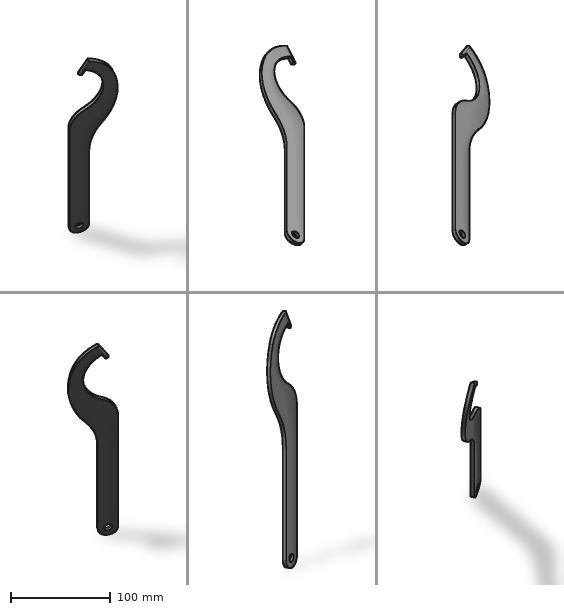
import cadquery as cq
import math

thickness = 4.0
total_length = 273.0
total_width = 51.5

handle_width = 21.3
end_radius = handle_width / 2
hole_diameter = 8.5

jaw_radius = 36.0
jaw_center_y = -10.5
jaw_center_z = 217.0
tip_arc_radius = 49.5
back_arc_radius = 80.0
neck_arc_radius = 62.8
shoulder_radius = 30.9

tooth_width = 4.0
tooth_length = 20.8
tooth_angle = math.radians(30)
tooth_round_radius = thickness / 2
cutter_margin = 2.7

front_y = -end_radius
rear_y = end_radius
hook_rear_y = front_y + total_width
top_z = total_length - end_radius


def point_toward(start, target, distance):
    """Point at a given distance from start along the line to target."""
    span = math.dist(start, target)
    return tuple(s + (t - s) * distance / span for s, t in zip(start, target))


def middle_of_arc(center, radius, start, end):
    """Point halfway along the shorter arc from start to end."""
    chord_middle = tuple((s + e) / 2 for s, e in zip(start, end))
    return point_toward(center, chord_middle, radius)


def lower_center_z(center_y, known_center, center_distance):
    """Z of a centre that lies below a known one at a given distance from it."""
    offset_y = center_y - known_center[0]
    return known_center[1] - math.sqrt(center_distance**2 - offset_y**2)


jaw_center = (jaw_center_y, jaw_center_z)

back_y = hook_rear_y - back_arc_radius
back_center = (back_y, lower_center_z(back_y, jaw_center, back_arc_radius - tip_arc_radius))

neck_y = rear_y + neck_arc_radius
neck_center = (neck_y, lower_center_z(neck_y, back_center, back_arc_radius + neck_arc_radius))

shoulder_y = front_y + shoulder_radius
shoulder_center = (shoulder_y, lower_center_z(shoulder_y, jaw_center, jaw_radius + shoulder_radius))

tooth_down = (-math.sin(tooth_angle), -math.cos(tooth_angle))
tooth_inward = (math.cos(tooth_angle), -math.sin(tooth_angle))

tip_rise = top_z - jaw_center_z
tooth_top = (jaw_center_y + math.sqrt(tip_arc_radius**2 - tip_rise**2), top_z)


def point_on_tooth(down, inward):
    """Point at given distances along and across the tooth from its outer top corner."""
    return tuple(t + down * d + inward * i for t, d, i in zip(tooth_top, tooth_down, tooth_inward))


def tooth_root():
    """Point where the inner side of the tooth meets the jaw arc."""
    start = point_on_tooth(0, tooth_width)
    offset = (start[0] - jaw_center[0], start[1] - jaw_center[1])
    along = offset[0] * tooth_down[0] + offset[1] * tooth_down[1]
    across = offset[0] * tooth_inward[0] + offset[1] * tooth_inward[1]
    return point_on_tooth(-along - math.sqrt(jaw_radius**2 - across**2), tooth_width)


def make_plate():
    tip_to_back = point_toward(back_center, jaw_center, back_arc_radius)
    back_to_neck = point_toward(back_center, neck_center, back_arc_radius)
    neck_end = (rear_y, neck_center[1])
    shoulder_end = (front_y, shoulder_center[1])
    shoulder_to_jaw = point_toward(shoulder_center, jaw_center, shoulder_radius)
    jaw_rear = (jaw_center_y + jaw_radius, jaw_center_z)

    outline = (
        cq.Workplane("YZ")
        .moveTo(*tooth_top)
        .threePointArc(middle_of_arc(jaw_center, tip_arc_radius, tooth_top, tip_to_back), tip_to_back)
        .threePointArc(middle_of_arc(back_center, back_arc_radius, tip_to_back, back_to_neck), back_to_neck)
        .threePointArc(middle_of_arc(neck_center, neck_arc_radius, back_to_neck, neck_end), neck_end)
        .lineTo(rear_y, 0)
        .threePointArc((0, -end_radius), (front_y, 0))
        .lineTo(*shoulder_end)
        .threePointArc(
            middle_of_arc(shoulder_center, shoulder_radius, shoulder_end, shoulder_to_jaw),
            shoulder_to_jaw,
        )
        .threePointArc(jaw_rear, tooth_root())
        .lineTo(*point_on_tooth(tooth_length, tooth_width))
        .lineTo(*point_on_tooth(tooth_length, 0))
        .close()
    )
    return outline.extrude(thickness / 2, both=True)


def make_tooth_round_cutter():
    """Everything beside a half cylinder that runs along the outer side of the tooth."""
    axis_start = point_on_tooth(-cutter_margin, tooth_round_radius)
    length = tooth_length + 2 * cutter_margin
    plane = cq.Plane(origin=(0, *axis_start), xDir=(1, 0, 0), normal=(0, *tooth_down))
    block_depth = tooth_round_radius + cutter_margin
    outer_block = (
        cq.Workplane(plane)
        .center(0, block_depth / 2)
        .rect(2 * thickness, block_depth)
        .extrude(length)
    )
    nose = cq.Workplane(plane).circle(tooth_round_radius).extrude(length)
    return outer_block.cut(nose)


def make_hanging_hole():
    return cq.Workplane("YZ").circle(hole_diameter / 2).extrude(thickness, both=True)


result = make_plate().cut(make_tooth_round_cutter()).cut(make_hanging_hole())